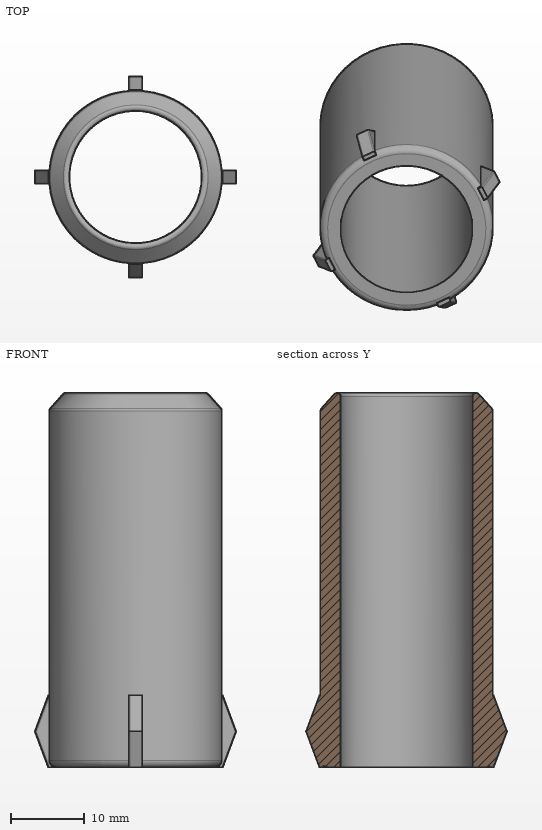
import cadquery as cq
import math

length = 51.09
outer_radius = 23.58 / 2
bore_radius = 18.0 / 2

lip_rounding = 0.5
shoulder_rounding = 0.5
cone_slope = math.radians(48)

base_rounding = 1.0

barb_count = 4
barb_width = 1.85
barb_height = 9.8
barb_end_radius = 11.9
barb_tip_radius = 27.45 / 2
barb_root_radius = outer_radius - 0.5
barb_edge_rounding = 0.15


def arc_point(centre, radius, angle):
    """Point on a circle, with the angle measured from the outward radial direction."""
    return (centre[0] + radius * math.cos(angle), centre[1] + radius * math.sin(angle))


def make_sleeve():
    """Tube of revolution with a tapered, rounded upper end and a rounded base."""
    normal_angle = math.pi / 2 - cone_slope

    lip_centre = (bore_radius + lip_rounding, length - lip_rounding)
    lip_inner = arc_point(lip_centre, lip_rounding, math.pi)
    lip_top = arc_point(lip_centre, lip_rounding, math.pi / 2)
    cone_top = arc_point(lip_centre, lip_rounding, normal_angle)

    shoulder_centre_r = outer_radius - shoulder_rounding
    cone_bottom_r = shoulder_centre_r + shoulder_rounding * math.cos(normal_angle)
    cone_bottom_z = cone_top[1] - (cone_bottom_r - cone_top[0]) * math.tan(cone_slope)
    shoulder_centre = (shoulder_centre_r, cone_bottom_z - shoulder_rounding * math.sin(normal_angle))
    shoulder_middle = arc_point(shoulder_centre, shoulder_rounding, normal_angle / 2)
    shoulder_end = arc_point(shoulder_centre, shoulder_rounding, 0)

    base_centre = (outer_radius - base_rounding, base_rounding)
    base_middle = arc_point(base_centre, base_rounding, -math.pi / 4)

    profile = (
        cq.Workplane("XZ")
        .moveTo(bore_radius, 0)
        .lineTo(outer_radius - base_rounding, 0)
        .threePointArc(base_middle, (outer_radius, base_rounding))
        .lineTo(*shoulder_end)
        .threePointArc(shoulder_middle, (cone_bottom_r, cone_bottom_z))
        .lineTo(*cone_top)
        .threePointArc(lip_top, lip_inner)
        .close()
    )
    return profile.revolve(360, (0, 0), (0, 1))


def make_barb():
    """Double-sloped rib on the +X side with its long outer edges rounded."""
    outline = (
        cq.Workplane("XZ")
        .moveTo(barb_root_radius, 0)
        .lineTo(barb_end_radius, 0)
        .lineTo(barb_tip_radius, barb_height / 2)
        .lineTo(barb_end_radius, barb_height)
        .lineTo(barb_root_radius, barb_height)
        .close()
    )
    barb = outline.extrude(barb_width / 2, both=True)
    return barb.faces("|Y").edges("not(|X or |Z)").fillet(barb_edge_rounding)


result = make_sleeve()
barb = make_barb()
for index in range(barb_count):
    result = result.union(barb.rotate((0, 0, 0), (0, 0, 1), index * 360 / barb_count))